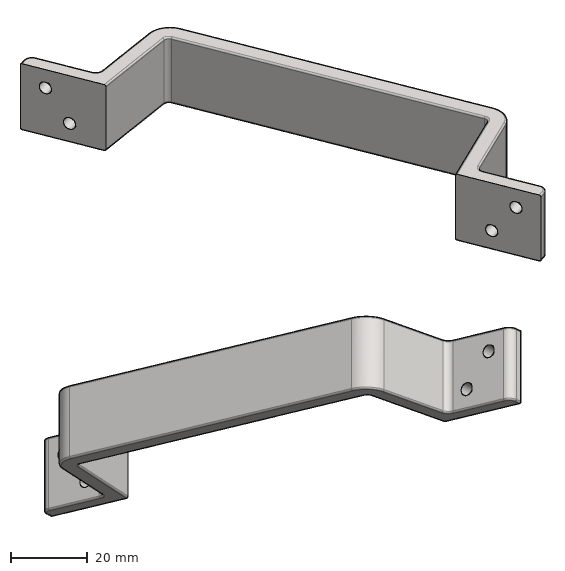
import cadquery as cq
import math

LENGTH = 150.2
DEPTH = 33.7
WIDTH = 20.2

GRIP_THICKNESS = 5.3
LEG_THICKNESS = 4.9
FOOT_THICKNESS = 4.4
FOOT_LENGTH = 24.7
LEG_LEAN = math.radians(7.9)

OUTER_BEND_RADIUS = 6.5
INNER_BEND_RADIUS = 1.5
ROOT_RADIUS = 2.0
FOOT_END_RADIUS = 2.4
EDGE_RADIUS = 0.5

HOLE_DIAMETER = 3.5
HOLE_PLACES = [(7.2, 4.5), (14.2, -4.5)]

SMALL = 0.01


def leg_inner_x(y):
    """X of the inner leg face on the +X side at depth y."""
    return LENGTH / 2 - FOOT_LENGTH - y * math.tan(LEG_LEAN)


def leg_outer_x(y):
    """X of the outer leg face on the +X side at depth y."""
    return leg_inner_x(y) + LEG_THICKNESS / math.cos(LEG_LEAN)


def round_upright_edges(body, x, y, radius):
    """Round the edges parallel to Z that stand at (x, y) and (-x, y)."""
    for side in (1, -1):
        low = (side * x - SMALL, y - SMALL, -WIDTH)
        high = (side * x + SMALL, y + SMALL, WIDTH)
        body = body.edges(cq.selectors.BoxSelector(low, high)).fillet(radius)
    return body


def bent_strip():
    """Strip with two feet, two leaning legs and a straight grip."""
    grip_inner_y = DEPTH - GRIP_THICKNESS
    right_half = [
        (leg_inner_x(grip_inner_y), grip_inner_y),
        (leg_inner_x(0), 0),
        (LENGTH / 2, 0),
        (LENGTH / 2, FOOT_THICKNESS),
        (leg_outer_x(FOOT_THICKNESS), FOOT_THICKNESS),
        (leg_outer_x(DEPTH), DEPTH),
    ]
    left_half = [(-x, y) for x, y in reversed(right_half)]
    body = cq.Workplane("XY").polyline(right_half + left_half).close().extrude(WIDTH / 2, both=True)

    body = round_upright_edges(body, leg_outer_x(DEPTH), DEPTH, OUTER_BEND_RADIUS)
    body = round_upright_edges(body, leg_inner_x(grip_inner_y), grip_inner_y, INNER_BEND_RADIUS)
    body = round_upright_edges(body, leg_outer_x(FOOT_THICKNESS), FOOT_THICKNESS, ROOT_RADIUS)
    return round_upright_edges(body, LENGTH / 2, FOOT_THICKNESS, FOOT_END_RADIUS)


def round_rims(body):
    """Round the rims of the two strip sides, leaving the mounting face edges sharp."""
    rims = body.faces("|Z").edges()
    return rims.filter(lambda edge: edge.Center().y > SMALL).fillet(EDGE_RADIUS)


def drill_feet(body):
    """Drill the screw holes straight through both feet along Y."""
    places = [(side * (LENGTH / 2 - inset), z) for side in (1, -1) for inset, z in HOLE_PLACES]
    drills = cq.Workplane("XZ").pushPoints(places).circle(HOLE_DIAMETER / 2).extrude(-FOOT_THICKNESS)
    return body.cut(drills)


result = drill_feet(round_rims(bent_strip()))